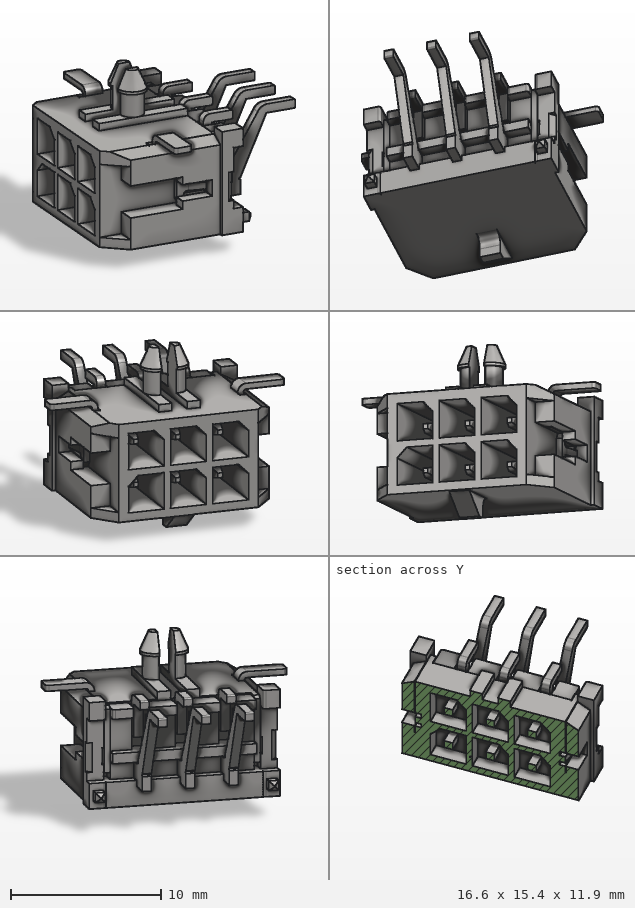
import cadquery as cq
import math


total_height = 11.95
housing_height = 6.83
mating_half_width = 4.96
housing_half_width = 6.33
shoulder_half_width = 5.41
shoulder_drop = 0.48
nose_length = 1.63
nose_bottom, nose_top = 0.7, 5.88

flange_front, flange_back = 8.31, 9.87
flange_half_width = 6.58
end_block_top = 7.35
recess_back = 9.19
recess_bottom, recess_top = 1.76, 6.08
edge_chamfer = 0.4
edge_chamfer_bottom, edge_chamfer_top = 2.35, 4.38
rib_bottom, rib_top = 3.01, 3.71
channel_width = 0.93
rear_corner_radius = 0.17
lobe_top = 6.73

pocket_end = 5.5
pocket_bottom, pocket_top = 2.25, 4.51
window_end = 7.71
window_bottom, window_top = 2.81, 3.96
tunnel_half_width = 5.51
slot_front = 3.46

columns = 3
pitch = 3.0
column_positions = [(column - (columns - 1) / 2) * pitch for column in range(columns)]
lower_row_z = 1.86
upper_row_z = lower_row_z + pitch
pin_size = 0.63
pin_half = pin_size / 2
pin_tip_size = 0.33
pin_tip_length = 0.67
pin_tip_y = 2.0
solder_top = 7.45
tail_edge = 0.1
upper_tail_end = 10.74
leg_front = 8.55
leg_bend = 0.5
leg_inner_bend = 0.2

cavity_size = 2.53
cavity_key = 0.7
cavity_depth = 7.16

tab_half_span = 8.32
tab_front, tab_back = 3.93, 5.23
tab_corner = 0.22
nail_thickness = 0.42
nail_bend = 0.18
nail_front, nail_back = 3.7, 9.2
nail_chamfer = 0.22
nail_shoulder_z = 5.66
foot_front = 5.55
foot_bevel_length, foot_bevel_height = 0.25, 0.4
tongue_root = 6.05
tongue_fillet = 0.28
barb_front, barb_back = 6.4, 7.61
barb_bottom, barb_top = 3.11, 3.61
barb_reach = 5.66

peg_y = 4.58
peg_axis_x = 0.65
peg_gap_half = 0.55
shaft_radius = 0.82
lip_radius = 1.0
peg_tip_radius = 0.42
lip_bottom, lip_top, peg_top = 9.0, 9.2, 10.52
rail_front = 1.71
rail_outer_x = peg_axis_x + shaft_radius

latch_half_width = 0.72
latch_drop = total_height - peg_top
latch_radius = 0.73
latch_front, latch_tip, latch_catch = 0.45, 2.31, 2.96
post_x, post_z = 5.98, 0.92
post_size = 0.67
post_shoulder, post_end = 10.45, 10.74


def box(x_range, y_range, z_range):
    """Box between the given limits along each axis."""
    corner, opposite = zip(x_range, y_range, z_range)
    sides = [end - start for start, end in zip(corner, opposite)]
    return cq.Workplane("XY").box(*sides, centered=False).translate(corner)


def both_sides(right_half):
    """The shape together with its mirror image in the x = 0 plane."""
    return right_half.union(right_half.mirror("YZ"))


def plate_yz(sketch, x_start, thickness):
    """Extrude a closed (y, z) outline along +x from x_start."""
    return sketch.extrude(thickness).translate((x_start, 0, 0))


def make_body():
    section = [
        (-housing_half_width, 0),
        (housing_half_width, 0),
        (housing_half_width, housing_height - shoulder_drop),
        (shoulder_half_width, housing_height),
        (-shoulder_half_width, housing_height),
        (-housing_half_width, housing_height - shoulder_drop),
    ]
    body = cq.Workplane("XZ").polyline(section).close().extrude(-flange_front)
    plan = [
        (-mating_half_width, 0),
        (mating_half_width, 0),
        (housing_half_width, nose_length),
        (housing_half_width, flange_front),
        (-housing_half_width, flange_front),
        (-housing_half_width, nose_length),
    ]
    return body.intersect(cq.Workplane("XY").polyline(plan).close().extrude(housing_height))


def make_flange():
    depth = (flange_front, flange_back)
    flange = box((-mating_half_width, mating_half_width), depth, (0, rib_top))
    lobe_starts = [-mating_half_width] + [x + channel_width / 2 for x in column_positions]
    lobe_ends = [x - channel_width / 2 for x in column_positions] + [mating_half_width]
    for lobe_range in zip(lobe_starts, lobe_ends):
        lobe = box(lobe_range, depth, (rib_top, lobe_top))
        flange = flange.union(lobe.edges("|Z and >Y").fillet(rear_corner_radius))
    end_block = box((shoulder_half_width, flange_half_width), depth, (0, end_block_top))
    end_block = end_block.edges("|Z and <X and >Y").fillet(rear_corner_radius)
    foot = box((mating_half_width, shoulder_half_width), depth, (0, recess_bottom))
    flange = flange.union(both_sides(end_block.union(foot)))

    recess = box(
        (-flange_half_width, flange_half_width),
        (recess_back, flange_back),
        (recess_bottom, recess_top),
    )
    flange = flange.cut(recess)
    rib = box((-mating_half_width, mating_half_width), depth, (rib_bottom, rib_top))
    lead_in = (
        cq.Workplane("XY", origin=(0, 0, edge_chamfer_bottom))
        .moveTo(flange_half_width, recess_back)
        .lineTo(flange_half_width - edge_chamfer, recess_back)
        .lineTo(flange_half_width, recess_back - edge_chamfer)
        .close()
        .extrude(edge_chamfer_top - edge_chamfer_bottom)
    )
    return flange.union(rib).cut(both_sides(lead_in))


def make_side_openings():
    outside = (mating_half_width, flange_half_width)
    nose = box(outside, (0, nose_length), (nose_bottom, nose_top))
    pocket = box(outside, (0, pocket_end), (pocket_bottom, pocket_top))
    window = box(outside, (pocket_end, window_end), (window_bottom, window_top))
    tunnel_x = (mating_half_width, tunnel_half_width)
    tunnel = box(tunnel_x, (pocket_end, flange_back), (window_bottom, window_top))
    slot_x = (mating_half_width, shoulder_half_width)
    slot = box(slot_x, (slot_front, flange_back), (pocket_bottom, end_block_top))
    return both_sides(nose.union(pocket).union(window).union(tunnel).union(slot))


def make_cavity(column_x, row_z, key_side):
    """Contact cavity with one top corner cut off; key_side is 1 for +x and -1 for -x."""
    half = cavity_size / 2
    outline = [
        (-key_side * half, -half),
        (key_side * half, -half),
        (key_side * half, half - cavity_key),
        (key_side * (half - cavity_key), half),
        (-key_side * half, half),
    ]
    plane = cq.Workplane("XZ", origin=(column_x, 0, row_z))
    return plane.polyline(outline).close().extrude(-cavity_depth)


def make_blade(column_x, row_z, back_y):
    """Square contact blade with a tapered tip."""
    tip = (
        cq.Workplane("XZ", origin=(column_x, pin_tip_y, row_z))
        .rect(pin_tip_size, pin_tip_size)
        .workplane(offset=-pin_tip_length)
        .rect(pin_size, pin_size)
        .loft()
    )
    blade_x = (column_x - pin_half, column_x + pin_half)
    blade = box(blade_x, (pin_tip_y + pin_tip_length, back_y), (row_z - pin_half, row_z + pin_half))
    return blade.union(tip)


def make_upper_contact(column_x):
    leg_back = leg_front + pin_size
    leg_x = (column_x - pin_half, column_x + pin_half)
    leg_bottom = upper_row_z - pin_half
    leg = box(leg_x, (leg_front, leg_back), (leg_bottom, solder_top))
    tail = box(leg_x, (leg_front, upper_tail_end), (solder_top - pin_size, solder_top))
    tail = tail.edges("|X and >Y").fillet(tail_edge)
    root = box(leg_x, (flange_front, leg_back), (leg_bottom, leg_bottom + pin_size))
    root = root.edges("|X and >Y and <Z").fillet(leg_bend)
    leg = leg.edges("|X and >Y and <Z").fillet(leg_bend)
    bent = leg.union(tail).edges("|X and <Y and >Z").fillet(leg_bend).union(root)
    inner_corner = cq.selectors.NearestToPointSelector((column_x, leg_front, leg_bottom + pin_size))
    bent = bent.edges("|X").edges(inner_corner).fillet(leg_inner_bend)
    return bent.union(make_blade(column_x, upper_row_z, leg_back))


def make_lower_contact(column_x):
    tail_end = 15.4
    tail_bottom = solder_top - pin_size
    base_back = 11.32
    base_bottom, base_top = 1.37, 2.93
    relief = 0.1
    relief_z = 2.48
    leg_foot, leg_foot_end = (10.1, 3.0), (9.92, base_top)
    under_bend = (13.25, tail_bottom)
    bend_start, bend_end = (13.32, solder_top), (12.6, 7.01)
    outline = (
        cq.Workplane("YZ")
        .moveTo(flange_front, base_bottom)
        .lineTo(base_back, base_bottom)
        .lineTo(base_back, relief_z - relief)
        .lineTo(base_back - relief, relief_z)
        .lineTo(base_back, relief_z + relief)
        .lineTo(*under_bend)
        .lineTo(tail_end, tail_bottom)
        .lineTo(tail_end, solder_top)
        .lineTo(*bend_start)
        .tangentArcPoint(bend_end, relative=False)
        .lineTo(*leg_foot)
        .lineTo(*leg_foot_end)
        .lineTo(flange_front, base_top)
        .close()
    )
    contact = plate_yz(outline, column_x - pin_half, pin_size)
    contact = contact.edges("|X and >Y").fillet(tail_edge)
    return contact.union(make_blade(column_x, lower_row_z, flange_front))


def make_nail():
    inner_x = mating_half_width
    outer_x = inner_x + nail_thickness
    outline = (
        cq.Workplane("YZ")
        .moveTo(nail_front, pocket_top)
        .lineTo(foot_front + foot_bevel_length, pocket_top)
        .lineTo(foot_front, pocket_top - foot_bevel_height)
        .lineTo(foot_front, pocket_bottom + foot_bevel_height)
        .lineTo(foot_front + foot_bevel_length, pocket_bottom)
        .lineTo(nail_back, pocket_bottom)
        .lineTo(nail_back, housing_height - nail_chamfer)
        .lineTo(nail_back - nail_chamfer, housing_height)
        .lineTo(tab_front, housing_height)
        .lineTo(tab_front, nail_shoulder_z)
        .lineTo(nail_front, nail_shoulder_z - nail_chamfer)
        .close()
    )
    plate = plate_yz(outline, inner_x, nail_thickness)
    thickness_range = (inner_x, outer_x)
    above = box(thickness_range, (tongue_root, window_end), (barb_top, window_top))
    below = box(thickness_range, (tongue_root, window_end), (window_bottom, barb_bottom))
    behind = box(thickness_range, (barb_back, window_end), (barb_bottom, barb_top))
    plate = plate.cut(above.edges("|X and <Y and <Z").fillet(tongue_fillet))
    plate = plate.cut(below.edges("|X and <Y and >Z").fillet(tongue_fillet)).cut(behind)

    tab_y = (tab_front, tab_back)
    tab = box((inner_x, tab_half_span), tab_y, (housing_height, solder_top))
    under = box((outer_x, tab_half_span), tab_y, (housing_height, solder_top - nail_thickness))
    under = under.edges("|Y and <X and >Z").fillet(nail_bend)
    tab = tab.edges("|Y and <X and >Z").fillet(nail_thickness + nail_bend)
    tab = tab.edges("|Z and >X").fillet(tab_corner)
    return plate.union(tab.cut(under)).union(make_barb(outer_x))


def make_barb(outer_x):
    """Tongue that springs outward from the nail towards the rear of the window."""
    return (
        cq.Workplane("XY", origin=(0, 0, barb_bottom))
        .moveTo(outer_x, barb_front)
        .lineTo(barb_reach, barb_back)
        .lineTo(outer_x, barb_back)
        .close()
        .extrude(barb_top - barb_bottom)
    )


def make_peg():
    profile = [
        (0, housing_height),
        (shaft_radius, housing_height),
        (shaft_radius, lip_bottom),
        (lip_radius, lip_bottom),
        (lip_radius, lip_top),
        (peg_tip_radius, peg_top),
        (0, peg_top),
    ]
    half_peg = cq.Workplane("XZ").polyline(profile).close().revolve(360, (0, 0), (0, 1))
    half_peg = half_peg.translate((peg_axis_x, peg_y, 0))
    flat_x = (peg_gap_half, peg_axis_x)
    for radius, z_range in (
        (shaft_radius, (housing_height, lip_bottom)),
        (lip_radius, (lip_bottom, lip_top)),
    ):
        half_peg = half_peg.union(box(flat_x, (peg_y - radius, peg_y + radius), z_range))
    inner_side = box(
        (peg_axis_x - lip_radius, peg_gap_half),
        (peg_y - lip_radius, peg_y + lip_radius),
        (housing_height, peg_top),
    )
    rail = box((peg_gap_half, rail_outer_x), (rail_front, flange_front), (housing_height, end_block_top))
    return both_sides(half_peg.cut(inner_side).union(rail))


def make_latch():
    arc_mid = latch_radius * math.sqrt(0.5)
    root = latch_catch + latch_radius
    outline = (
        cq.Workplane("YZ")
        .moveTo(latch_front, 0)
        .lineTo(latch_tip, -latch_drop)
        .lineTo(latch_catch, -latch_drop)
        .lineTo(latch_catch, -latch_radius)
        .threePointArc((root - arc_mid, arc_mid - latch_radius), (root, 0))
        .close()
    )
    return plate_yz(outline, -latch_half_width, 2 * latch_half_width)


def make_post():
    length = post_end - flange_back
    base = cq.Workplane("XZ", origin=(post_x, flange_back, post_z))
    post = base.rect(post_size, post_size).extrude(-length)
    return both_sides(post.faces(">Y").chamfer(post_end - post_shoulder))


result = make_body().union(make_flange()).cut(make_side_openings())
for column_x in column_positions:
    for row_z in (lower_row_z, upper_row_z):
        is_first_contact = column_x == column_positions[0] and row_z == lower_row_z
        key_side = -1 if is_first_contact else 1
        result = result.cut(make_cavity(column_x, row_z, key_side))
for column_x in column_positions:
    result = result.union(make_upper_contact(column_x)).union(make_lower_contact(column_x))
for feature in (both_sides(make_nail()), make_peg(), make_latch(), make_post()):
    result = result.union(feature)